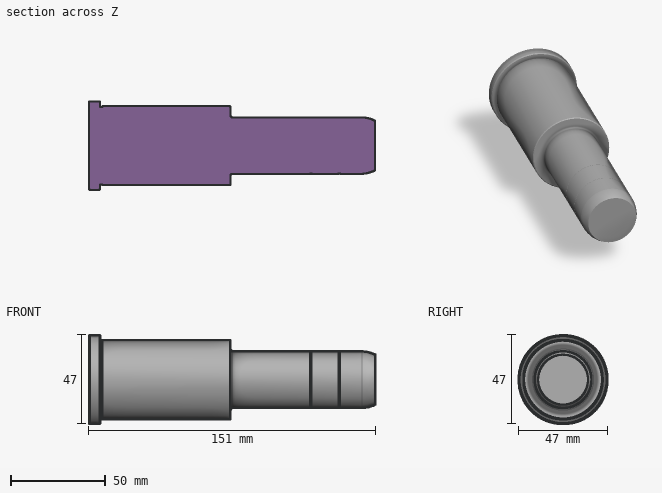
import cadquery as cq

flange_diameter = 47.0
flange_thickness = 6.0
flange_chamfer = 0.5

body_diameter = 42.0
body_end = 74.7
body_chamfer = 0.5
relief_width = 1.0
relief_depth = 0.5

overall_length = 151.0
pin_diameter = 30.0
root_fillet = 1.0
nose_length = 7.1
nose_end_diameter = 26.3
groove_width = 0.9
groove_depth = 0.1
first_groove_start = 116.5
groove_spacing = 15.0
groove_count = 2


def cylinder(start, length, diameter):
    """Solid cylinder on the X axis."""
    return cq.Workplane("YZ").workplane(offset=start).circle(diameter / 2).extrude(length)


def ring(start, length, outer_diameter, depth):
    """Ring for cutting a band of the given depth into a cylinder."""
    inner_diameter = outer_diameter - 2 * depth
    return cylinder(start, length, outer_diameter).cut(cylinder(start, length, inner_diameter))


def make_flange():
    return cylinder(0, flange_thickness, flange_diameter).edges().chamfer(flange_chamfer)


def make_body():
    body = cylinder(flange_thickness, body_end - flange_thickness, body_diameter)
    body = body.cut(ring(flange_thickness, relief_width, body_diameter, relief_depth))
    return body.faces(">X").edges().chamfer(body_chamfer)


def make_pin():
    """Revolved pin: concave fillet at the root, arc tangent to the pin at the nose."""
    pin_radius = pin_diameter / 2
    profile = (
        cq.Workplane("XY")
        .moveTo(body_end, 0)
        .lineTo(body_end, pin_radius + root_fillet)
        .radiusArc((body_end + root_fillet, pin_radius), -root_fillet)
        .lineTo(overall_length - nose_length, pin_radius)
        .tangentArcPoint((overall_length, nose_end_diameter / 2), relative=False)
        .lineTo(overall_length, 0)
        .close()
    )
    pin = profile.revolve(360, (0, 0, 0), (1, 0, 0))
    for index in range(groove_count):
        start = first_groove_start + index * groove_spacing
        pin = pin.cut(ring(start, groove_width, pin_diameter, groove_depth))
    return pin


result = make_flange().union(make_body()).union(make_pin())